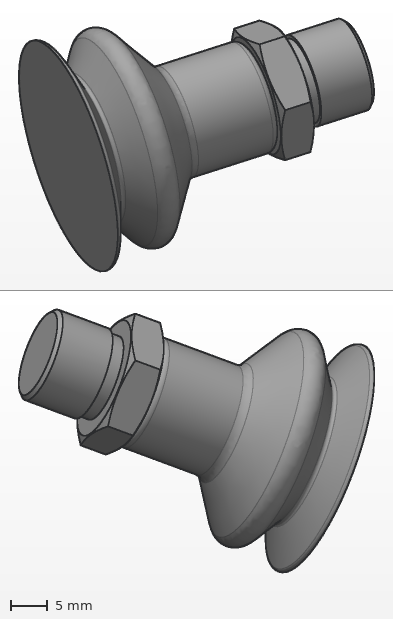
import cadquery as cq
import math


TOTAL_LENGTH = 43.0
THREAD_START = 34.87
HEX_TOP = 33.0
HEX_BASE = 28.0
SLEEVE_BASE = 15.05
BULGE_PLACE = 8.3
GROOVE_PLACE = 3.25
LIP_THICKNESS = 0.47

THREAD_DIAMETER = 13.15
THREAD_CHAMFER = 0.55
NECK_DIAMETER = 12.13
HEX_ACROSS_FLATS = 17.0
HEX_ACROSS_CORNERS = HEX_ACROSS_FLATS / math.cos(math.radians(30))
HEX_FACE_DIAMETER = 16.73
HEX_CHAMFER_DEPTH = 0.6

SLEEVE_DIAMETER = 16.0
BULGE_SHARP_DIAMETER = 34.3
GROOVE_SHARP_DIAMETER = 20.4
LIP_DIAMETER = 33.0
SLEEVE_EDGE_ROUND = 1.0
SLEEVE_BASE_ROUND = 1.55
BULGE_ROUND = 2.05
GROOVE_ROUND = 0.45
LIP_ROUND = 0.55


def revolve_about_y(points):
    """Solid of revolution about Y from (radius, place) points, closed along the axis."""
    return cq.Workplane("XY").polyline(points).close().revolve(360, (0, 0), (0, 1))


def cylinder(diameter, start, end):
    """Solid cylinder on the Y axis between two places."""
    radius = diameter / 2
    return revolve_about_y([(0, start), (radius, start), (radius, end), (0, end)])


def make_hexagon():
    """Hexagon with flats facing +X and -X, its corners chamfered on both faces."""
    prism = (
        cq.Workplane("XZ", origin=(0, HEX_BASE, 0))
        .transformed(rotate=(0, 0, 90))
        .polygon(6, HEX_ACROSS_CORNERS)
        .extrude(HEX_BASE - HEX_TOP)
    )
    face_radius = HEX_FACE_DIAMETER / 2
    corner_radius = HEX_ACROSS_CORNERS / 2
    chamfer_envelope = revolve_about_y([
        (0, HEX_BASE),
        (face_radius, HEX_BASE),
        (corner_radius, HEX_BASE + HEX_CHAMFER_DEPTH),
        (corner_radius, HEX_TOP - HEX_CHAMFER_DEPTH),
        (face_radius, HEX_TOP),
        (0, HEX_TOP),
    ])
    return prism.intersect(chamfer_envelope)


def make_fitting():
    """Hexagon, neck and plain threaded end, turned from one piece."""
    neck = cylinder(NECK_DIAMETER, HEX_TOP, THREAD_START)
    thread = cylinder(THREAD_DIAMETER, THREAD_START, TOTAL_LENGTH).faces(">Y").chamfer(THREAD_CHAMFER)
    return make_hexagon().union(neck).union(thread)


def round_ring(body, place, radius):
    """Round the circular edge whose centre is on the axis at the given place."""
    return body.edges(cq.selectors.NearestToPointSelector((0, place, 0))).fillet(radius)


def make_cup():
    """Sleeve, single bellows fold and flared lip, as one solid."""
    cup = revolve_about_y([
        (0, 0),
        (LIP_DIAMETER / 2, 0),
        (LIP_DIAMETER / 2, LIP_THICKNESS),
        (GROOVE_SHARP_DIAMETER / 2, GROOVE_PLACE),
        (BULGE_SHARP_DIAMETER / 2, BULGE_PLACE),
        (SLEEVE_DIAMETER / 2, SLEEVE_BASE),
        (SLEEVE_DIAMETER / 2, HEX_BASE),
        (0, HEX_BASE),
    ])
    rounds = [
        (LIP_THICKNESS, LIP_ROUND),
        (GROOVE_PLACE, GROOVE_ROUND),
        (BULGE_PLACE, BULGE_ROUND),
        (SLEEVE_BASE, SLEEVE_BASE_ROUND),
        (HEX_BASE, SLEEVE_EDGE_ROUND),
    ]
    for place, radius in rounds:
        cup = round_ring(cup, place, radius)
    return cup


fitting = make_fitting()
cup = make_cup()

result = cq.Compound.makeCompound([fitting.val(), cup.val()])